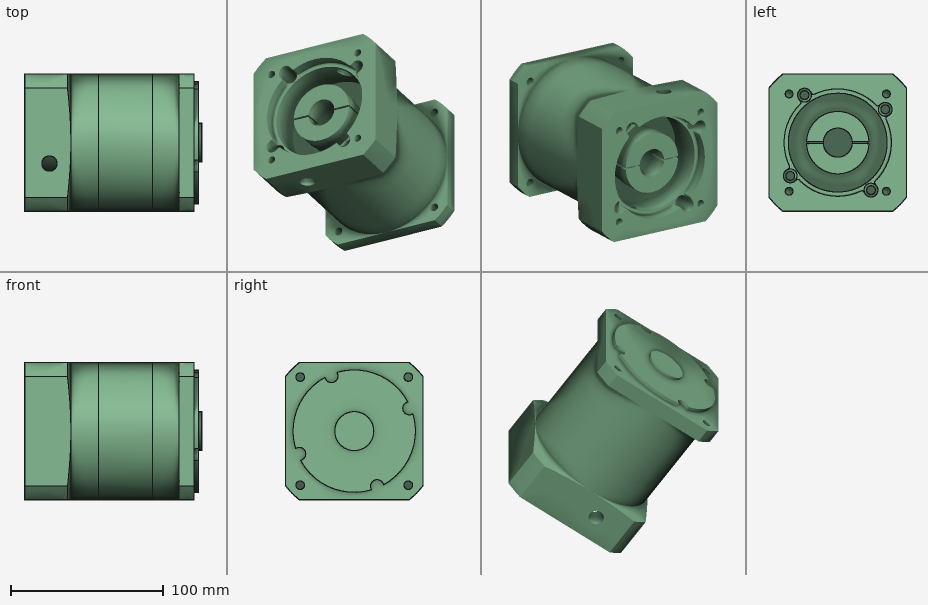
import cadquery as cq
import math

SQUARE = 90.0
BODY_R = SQUARE / 2
CORNER_R = 57.5

FLANGE_END = 30.3
RING_START = 48.5
RING_END = 83.6
OUTPUT_FLANGE_START = 101.0
OUTPUT_FLANGE_END = 110.9
PILOT_END = 113.9
OVERALL_LENGTH = 116.0

BACK_CONE_ANGLE = 10.0
MOTOR_PILOT_R = 35.1
MOTOR_PILOT_DEPTH = 7.9
CAVITY_R = 32.4
CAVITY_DEPTH = 31.1
SCREW_CIRCLE_R = 37.9
SCREW_FIRST_ANGLE = 55.0
COUNTERBORE_R = 4.5
COUNTERBORE_DEPTH = 20.0
SCREW_HOLE_R = 2.9
MOUTH_FILLET_R = 1.0
MOTOR_HOLE_CIRCLE_R = 45.0
MOTOR_HOLE_R = 2.5
MOTOR_HOLE_DEPTH = 20.0
DRILL_TIP_ANGLE = 118.0
ACCESS_HOLE_R = 5.0
ACCESS_X = 16.2
ACCESS_Y = 13.7

HUB_FACE_X = 9.5
COLLAR_R = 20.4
COLLAR_END = 23.2
HUB_NECK_R = 19.5
BORE_R = 9.5
BORE_DEPTH = 29.9
SLOT_WIDTH = 1.4

PILOT_R = 40.0
NOTCH_CIRCLE_R = 39.0
NOTCH_R = 4.3
NOTCH_FIRST_ANGLE = 22.5
OUTPUT_HOLE_CIRCLE_R = 50.0
OUTPUT_HOLE_R = 2.8
SHAFT_END_R = 12.8


def disc(radius, start, end, y=0.0, z=0.0):
    """Cylinder along X from start to end, centred on (y, z)."""
    return cq.Workplane("YZ", origin=(start, y, z)).circle(radius).extrude(end - start)


def four_points(circle_radius, first_angle):
    """Four (y, z) points spaced by quarter turns on a circle."""
    angles = [math.radians(first_angle + 90 * quarter) for quarter in range(4)]
    return [(circle_radius * math.cos(a), circle_radius * math.sin(a)) for a in angles]


def square_flange(start, end):
    """Square plate whose corners are cut by a larger circle."""
    plate = cq.Workplane("YZ", origin=(start, 0, 0)).rect(SQUARE, SQUARE).extrude(end - start)
    return plate.intersect(disc(CORNER_R, start, end))


def input_flange():
    """Square flange whose back slopes toward the input face outside the round section."""
    corner_x = FLANGE_END - (CORNER_R - BODY_R) * math.tan(math.radians(BACK_CONE_ANGLE))
    envelope = (
        cq.Workplane("XY")
        .polyline([(0, 0), (FLANGE_END, 0), (FLANGE_END, BODY_R), (corner_x, CORNER_R), (0, CORNER_R)])
        .close()
        .revolve(360, (0, 0, 0), (1, 0, 0))
    )
    return square_flange(0, FLANGE_END).intersect(envelope)


def motor_pilot():
    """Pilot recess with four round-ended screw channels that open into it through rounded mouths."""
    recess = disc(MOTOR_PILOT_R, 0, MOTOR_PILOT_DEPTH)
    channel = (
        cq.Workplane("YZ")
        .center(SCREW_CIRCLE_R / 2, 0)
        .rect(SCREW_CIRCLE_R, 2 * COUNTERBORE_R)
        .extrude(MOTOR_PILOT_DEPTH)
        .union(disc(COUNTERBORE_R, 0, MOTOR_PILOT_DEPTH, SCREW_CIRCLE_R))
    )
    for quarter in range(4):
        angle = SCREW_FIRST_ANGLE + 90 * quarter
        recess = recess.union(channel.rotate((0, 0, 0), (1, 0, 0), angle))
    mouth_half_angle = math.degrees(math.asin(COUNTERBORE_R / MOTOR_PILOT_R))
    for side in (-1, 1):
        for y, z in four_points(MOTOR_PILOT_R, SCREW_FIRST_ANGLE + side * mouth_half_angle):
            corner = cq.selectors.NearestToPointSelector((MOTOR_PILOT_DEPTH / 2, y, z))
            recess = recess.edges(corner).fillet(MOUTH_FILLET_R)
    return recess


def drilled_hole(radius, depth, y, z):
    """Blind hole from the input face, ending in a drill point."""
    tip = radius / math.tan(math.radians(DRILL_TIP_ANGLE / 2))
    return (
        cq.Workplane("XY")
        .polyline([(0, 0), (depth + tip, 0), (depth, radius), (0, radius)])
        .close()
        .revolve(360, (0, 0, 0), (1, 0, 0))
        .translate((0, y, z))
    )


def make_input_housing():
    """Motor flange and round section, hollowed for the motor pilot and the clamping hub."""
    housing = input_flange().union(disc(BODY_R, FLANGE_END, RING_START))
    housing = housing.cut(motor_pilot()).cut(disc(CAVITY_R, 0, CAVITY_DEPTH))
    housing = housing.cut(disc(HUB_NECK_R, CAVITY_DEPTH, RING_START))
    for y, z in four_points(SCREW_CIRCLE_R, SCREW_FIRST_ANGLE):
        housing = housing.cut(disc(COUNTERBORE_R, 0, COUNTERBORE_DEPTH, y, z))
        housing = housing.cut(disc(SCREW_HOLE_R, COUNTERBORE_DEPTH, RING_START, y, z))
    for y, z in four_points(MOTOR_HOLE_CIRCLE_R, 45):
        housing = housing.cut(drilled_hole(MOTOR_HOLE_R, MOTOR_HOLE_DEPTH, y, z))
    for side in (-1, 1):
        access = cq.Workplane("XY").center(ACCESS_X, -side * ACCESS_Y).circle(ACCESS_HOLE_R)
        housing = housing.cut(access.extrude(side * SQUARE))
    return housing


def make_ring_gear():
    """Plain round section between the two housings."""
    return disc(BODY_R, RING_START, RING_END)


def make_output_housing():
    """Round section, square mounting flange, notched pilot and shaft end."""
    housing = disc(BODY_R, RING_END, OUTPUT_FLANGE_START)
    housing = housing.union(square_flange(OUTPUT_FLANGE_START, OUTPUT_FLANGE_END))
    for y, z in four_points(OUTPUT_HOLE_CIRCLE_R, 45):
        housing = housing.cut(disc(OUTPUT_HOLE_R, OUTPUT_FLANGE_START, OUTPUT_FLANGE_END, y, z))
    pilot = disc(PILOT_R, OUTPUT_FLANGE_END, PILOT_END)
    for y, z in four_points(NOTCH_CIRCLE_R, NOTCH_FIRST_ANGLE):
        pilot = pilot.cut(disc(NOTCH_R, OUTPUT_FLANGE_END, PILOT_END, y, z))
    return housing.union(pilot).union(disc(SHAFT_END_R, PILOT_END, OVERALL_LENGTH))


def make_input_hub():
    """Split clamping collar on a neck that passes through the input housing."""
    hub = disc(COLLAR_R, HUB_FACE_X, COLLAR_END).union(disc(HUB_NECK_R, COLLAR_END, RING_START))
    hub = hub.cut(disc(BORE_R, HUB_FACE_X, HUB_FACE_X + BORE_DEPTH))
    slot_length = COLLAR_END - HUB_FACE_X
    slot = cq.Workplane("XY").box(slot_length, 2 * COLLAR_R, SLOT_WIDTH, centered=(False, True, True))
    return hub.cut(slot.translate((HUB_FACE_X, 0, 0)))


input_housing = make_input_housing()
input_hub = make_input_hub()
ring_gear = make_ring_gear()
output_housing = make_output_housing()

result = cq.Compound.makeCompound(
    [input_housing.val(), input_hub.val(), ring_gear.val(), output_housing.val()]
)